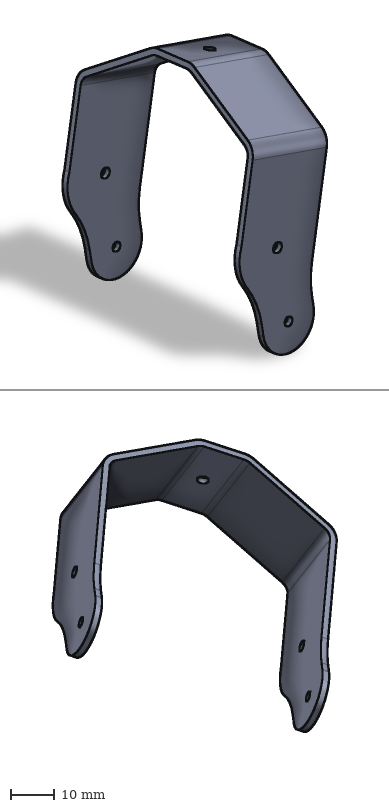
import cadquery as cq
import math

outer_width = 59.45
thickness = 1.7
strap_width = 24.0
top_height = 58.15
top_flat = 10.1
shoulder_slope = 30.0
bend_radius = 4.8
tilt = 9.7

pivot_hole = 2.4
mount_hole = 2.7
tip_radius = 8.1
mount_y = -6.8
mount_z = 18.9
lobe_radius = 12.15
neck_radius = 24.7


def bent_strap():
    """Overwide strip of constant thickness, bent over two legs, two shoulders and a flat top."""
    slope = math.radians(shoulder_slope)
    half_width = outer_width / 2
    top_corner = top_flat / 2 + bend_radius * math.tan(slope / 2)
    shoulder_z = top_height - (half_width - top_corner) * math.tan(slope)
    foot_z = -2 * tip_radius

    def solid_under(outline, radius):
        block = cq.Workplane("XZ", origin=(0, mount_y, 0)).polyline(outline).close()
        block = block.extrude(strap_width, both=True)
        return block.edges("|Y").edges(cq.selectors.BoxSelector(
            (-outer_width, -outer_width, 0),
            (outer_width, outer_width, 2 * top_height),
        )).fillet(radius)

    outer = [
        (-half_width, foot_z),
        (-half_width, shoulder_z),
        (-top_corner, top_height),
        (top_corner, top_height),
        (half_width, shoulder_z),
        (half_width, foot_z),
    ]
    inner_half = half_width - thickness
    inner_top_corner = top_corner - thickness * math.tan(slope / 2)
    inner_top = top_height - thickness
    inner_shoulder = inner_top - (inner_half - inner_top_corner) * math.tan(slope)
    inner = [
        (-inner_half, foot_z),
        (-inner_half, inner_shoulder),
        (-inner_top_corner, inner_top),
        (inner_top_corner, inner_top),
        (inner_half, inner_shoulder),
        (inner_half, foot_z),
    ]
    return solid_under(outer, bend_radius).cut(solid_under(inner, bend_radius - thickness))


def side_outline():
    """Side shape of both legs: a strap narrowing to a round tip offset toward its +Y edge."""
    front_y = mount_y - strap_width / 2
    back_y = mount_y + strap_width / 2
    lobe_start_z = mount_z + math.sqrt(lobe_radius**2 - (strap_width / 2)**2)
    arm_length = math.hypot(mount_y, mount_z)
    arm_angle = math.atan2(-mount_y, mount_z)

    def arm_point(along, forward):
        """Point at a distance along the line from pivot to mount hole, and forward of it."""
        return (
            -along * math.sin(arm_angle) - forward * math.cos(arm_angle),
            along * math.cos(arm_angle) - forward * math.sin(arm_angle),
        )

    blend_forward = tip_radius + neck_radius
    blend_reach = lobe_radius + neck_radius
    blend_back = math.sqrt(blend_reach**2 - blend_forward**2)
    lobe_share = lobe_radius / blend_reach
    lobe_end = arm_point(arm_length - lobe_share * blend_back, lobe_share * blend_forward)
    blend_end = arm_point(arm_length - blend_back, tip_radius)

    corner_along = (tip_radius * math.cos(arm_angle) - back_y) / math.sin(arm_angle)
    corner_z = arm_point(corner_along, -tip_radius)[1]
    tangent_length = neck_radius * math.tan(arm_angle / 2)

    return (
        cq.Workplane("YZ")
        .moveTo(back_y, top_height)
        .lineTo(front_y, top_height)
        .lineTo(front_y, lobe_start_z)
        .threePointArc((mount_y - lobe_radius, mount_z), lobe_end)
        .tangentArcPoint(blend_end, relative=False)
        .lineTo(*arm_point(0, tip_radius))
        .tangentArcPoint(arm_point(0, -tip_radius), relative=False)
        .lineTo(*arm_point(corner_along - tangent_length, -tip_radius))
        .tangentArcPoint((back_y, corner_z + tangent_length), relative=False)
        .close()
        .extrude(outer_width / 2, both=True)
    )


def cross_hole(y, z, diameter):
    """Cutter for a hole through both legs."""
    return cq.Workplane("YZ").center(y, z).circle(diameter / 2).extrude(outer_width, both=True)


bracket = bent_strap().intersect(side_outline())
bracket = bracket.cut(cross_hole(0, 0, pivot_hole))
bracket = bracket.cut(cross_hole(mount_y, mount_z, mount_hole))
top_hole = cq.Workplane("XY").center(0, mount_y).circle(mount_hole / 2).extrude(2 * top_height)
bracket = bracket.cut(top_hole)

result = bracket.rotate((0, 0, 0), (1, 0, 0), -tilt)